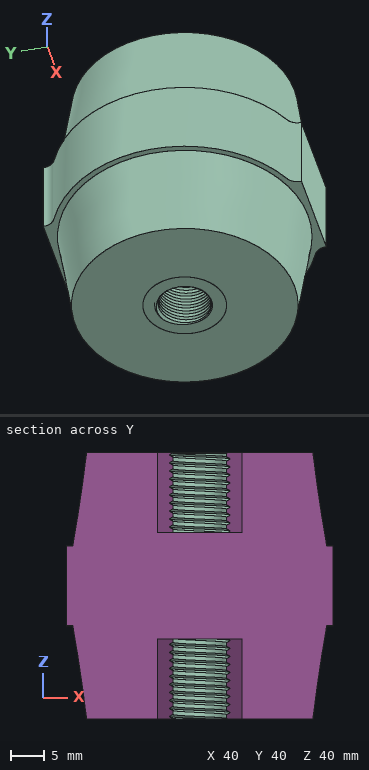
import cadquery as cq
import math

height = 40.0
band_radius = 20.0

end_radius = 17.0
cone_base_radius = 19.1
band_height = 12.0
lug_width = 15.0
lug_span = 40.0
lug_fillet = 2.0

insert_radius = 6.3
insert_length = 12.0

thread_minor_radius = 4.0
thread_major_radius = 4.5
thread_pitch = 1.2
groove_width = 0.6
bore_chamfer = 0.15
groove_exit_angle = -60.0
cutter_overlap = 0.1

half_height = height / 2
half_band = band_height / 2


def make_cones():
    """Waisted core of the housing, turned from a half profile in the YZ plane."""
    return (
        cq.Workplane("YZ")
        .moveTo(0, -half_height)
        .lineTo(-end_radius, -half_height)
        .lineTo(-cone_base_radius, -half_band)
        .lineTo(-cone_base_radius, half_band)
        .lineTo(-end_radius, half_height)
        .lineTo(0, half_height)
        .close()
        .revolve(360, (0, 0, 0), (0, 1, 0))
    )


def make_band():
    """Round band with a flat lug on the -Y and +Y sides, blended into the band."""
    round_band = cq.Workplane("XY").circle(band_radius).extrude(half_band, both=True)
    lugs = cq.Workplane("XY").rect(lug_width, lug_span).extrude(half_band, both=True)
    corner_y = math.sqrt(band_radius**2 - (lug_width / 2) ** 2)
    band = round_band.union(lugs)
    for x in (-lug_width / 2, lug_width / 2):
        for y in (-corner_y, corner_y):
            corner = cq.selectors.NearestToPointSelector((x, y, 0))
            band = band.edges("|Z").edges(corner).fillet(lug_fillet)
    return band


def make_housing():
    """Cones and band in one solid, with a blind recess for the insert in each end."""
    housing = make_cones().union(make_band())
    for face in (">Z", "<Z"):
        housing = housing.faces(face).workplane(origin=(0, 0, 0)).hole(2 * insert_radius, insert_length)
    return housing


def make_groove_turn():
    """Cutter for one full turn of the thread groove, its root rising from the XY plane."""
    path = cq.Wire.makeHelix(thread_pitch, thread_pitch, thread_minor_radius)
    inner_radius = thread_minor_radius - cutter_overlap
    flank_slope = groove_width / 2 / (thread_major_radius - thread_minor_radius)
    inner_half_width = flank_slope * (thread_major_radius - inner_radius)
    groove_turn = (
        cq.Workplane("XZ")
        .moveTo(inner_radius, inner_half_width)
        .lineTo(thread_major_radius, 0)
        .lineTo(inner_radius, -inner_half_width)
        .close()
        .sweep(path, isFrenet=True)
    )
    return groove_turn.rotate((0, 0, 0), (0, 0, 1), groove_exit_angle)


def make_insert():
    """Sleeve seated in the upper end of the housing, threaded over its full length."""
    sleeve = (
        cq.Workplane("XY", origin=(0, 0, half_height - insert_length))
        .circle(insert_radius)
        .circle(thread_minor_radius)
        .extrude(insert_length)
    )
    bore_edge = cq.selectors.RadiusNthSelector(0)
    sleeve = sleeve.faces(">Z").edges(bore_edge).chamfer(bore_chamfer)

    groove_turn = make_groove_turn()
    turns_in_sleeve = math.ceil(insert_length / thread_pitch)
    for turn in range(turns_in_sleeve + 2):
        turn_base = half_height - turn * thread_pitch
        sleeve = sleeve.cut(groove_turn.translate((0, 0, turn_base)))
    return sleeve


housing = make_housing()

inserts = []
for flip_angle in (0, 180):
    inserts.append(make_insert().rotate((0, 0, 0), (1, 0, 0), flip_angle))

result = cq.Compound.makeCompound([housing.val(), *[insert.val() for insert in inserts]])